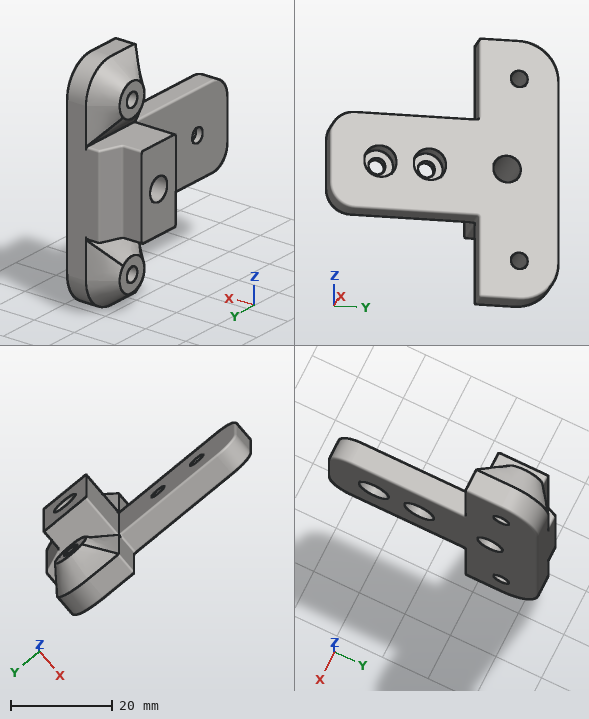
import cadquery as cq
import math

depth = 15.0
width = 46.0
height = 53.6
plate_thickness = 5.0
edge_radius = 0.5

arm_height = 20.0
arm_corner_radius = 5.0
body_start_y = 30.0
body_corner_radius = 8.0

block_end_y = 41.0
step_depth = 10.3
step_outer_depth = 8.25

boss_depth = 10.3
boss_diameter = 8.05
boss_y = width - body_corner_radius
boss_z = height / 2 - body_corner_radius

small_hole_diameter = 3.4
block_hole_diameter = 5.5
counterbore_diameter = 6.5
counterbore_depth = 3.4
block_hole_y = 35.55
arm_hole_positions = (10.0, 20.0)


def slab(y_start, y_end, slab_height, thickness):
    """Block standing forward from the back plane, centred on Z = 0."""
    return cq.Workplane("XY").box(
        thickness, y_end - y_start, slab_height, centered=(False, False, True)
    ).translate((-thickness, y_start, 0))


def make_body(thickness):
    body = slab(body_start_y, width, height, thickness)
    body = body.edges("|X and >Y").fillet(body_corner_radius)
    return body.edges("|X and <Y").fillet(edge_radius)


def make_plate():
    """T-shaped plate; the arm is rounded front and back, the body only at the back."""
    body = make_body(plate_thickness)
    arm = slab(0, body_start_y + edge_radius, arm_height, plate_thickness)
    arm = arm.edges("|X and <Y").fillet(arm_corner_radius)
    inner_corners = cq.selectors.BoxSelector(
        (-depth, body_start_y - edge_radius, -arm_height / 2 - edge_radius),
        (depth, body_start_y + edge_radius, arm_height / 2 + edge_radius),
    )
    plate = body.union(arm).edges("|X").edges(inner_corners).fillet(edge_radius)
    plate = plate.faces("<X or >X").edges().fillet(edge_radius)
    return plate.union(body.faces(">X").edges().fillet(edge_radius))


def make_block():
    profile = [
        (-edge_radius, body_start_y),
        (-depth, body_start_y),
        (-depth, block_end_y),
        (-step_depth, block_end_y),
        (-step_outer_depth, width),
        (-edge_radius, width),
    ]
    block = cq.Workplane("XY").polyline(profile).close().extrude(arm_height / 2, both=True)
    block = block.faces("<Y").edges("|X").fillet(edge_radius)
    step_edges = cq.selectors.BoxSelector(
        (-depth + edge_radius, block_end_y - edge_radius, -height),
        (-2 * edge_radius, width + edge_radius, height),
    )
    return block.edges(step_edges).fillet(edge_radius)


def make_boss():
    """Upper boss: tapers from the body outline to a round seat."""
    radius = boss_diameter / 2
    inner_z = arm_height / 2
    outer_z = height / 2

    def on_seat(angle):
        turn = math.radians(angle)
        return (boss_y + radius * math.cos(turn), boss_z + radius * math.sin(turn))

    diagonal = body_corner_radius * math.sqrt(0.5)
    base = (
        cq.Workplane("YZ", origin=(-plate_thickness, 0, 0))
        .moveTo(width, boss_z)
        .threePointArc((boss_y + diagonal, boss_z + diagonal), (boss_y, outer_z))
        .lineTo(body_start_y, outer_z)
        .lineTo(body_start_y, inner_z)
        .lineTo(width, inner_z)
        .close()
    )
    seat = cq.Workplane("YZ", origin=(-boss_depth, 0, 0)).moveTo(*on_seat(0))
    seat_angles = (0, 90, 135, 225, 315, 360)
    for start, end in zip(seat_angles, seat_angles[1:]):
        seat = seat.threePointArc(on_seat((start + end) / 2), on_seat(end))
    seat = seat.wire()
    boss = cq.Workplane(cq.Solid.makeLoft([base.val(), seat.val()], True))
    return boss.intersect(make_body(depth))


def hole(y, z, diameter, length=depth):
    """Cutter reaching forward from the back plane."""
    return cq.Workplane("YZ").center(y, z).circle(diameter / 2).extrude(-length)


boss = make_boss()
result = make_plate().union(make_block()).union(boss).union(boss.mirror("XY"))
result = result.cut(hole(block_hole_y, 0, block_hole_diameter))
for z in (-boss_z, boss_z):
    result = result.cut(hole(boss_y, z, small_hole_diameter))
for y in arm_hole_positions:
    result = result.cut(hole(y, 0, small_hole_diameter))
    result = result.cut(hole(y, 0, counterbore_diameter, counterbore_depth))